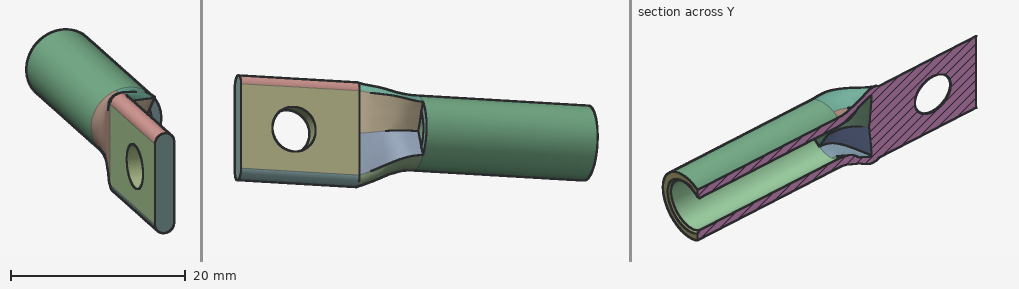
import cadquery as cq
import math

total_length = 40.9
barrel_length = 20.6
transition_length = 6.0
barrel_diameter = 8.63
bore_diameter = 6.25
mouth_chamfer = 0.3

palm_width = 12.2
palm_thickness = 2.37
hole_diameter = 5.2
hole_from_end = 6.38

fold_tilt = 29.0
outer_fold_depth_y = 1.25
inner_fold_depth_y = -0.15
bottom_edge_angle = 17.0
closed_gap = 0.1
closed_width = 9.8
section_count = 6
flat_tolerance = 4.09e-07
crest_delay_power = 1.8

barrel_radius = barrel_diameter / 2
bore_radius = bore_diameter / 2
palm_start = barrel_length + transition_length
palm_bottom = -barrel_radius
palm_middle = palm_bottom + palm_thickness / 2


def folded_points(radius, fold_y):
    """Bottom middle, side start, side middle, crest and V tip as (y, z), +Z half."""
    tilt = math.radians(fold_tilt)
    low = math.radians(bottom_edge_angle)
    along = fold_y * math.sin(tilt)
    reach = -along + math.sqrt(along**2 + radius**2 - fold_y**2)
    crest = (fold_y + reach * math.sin(tilt), reach * math.cos(tilt))
    middle = (math.atan2(crest[0], crest[1]) - low) / 2
    return [
        (-radius, 0),
        (-radius * math.sin(low), radius * math.cos(low)),
        (radius * math.sin(middle), radius * math.cos(middle)),
        crest,
        (fold_y, 0),
    ]


def flat_points(width, thickness):
    """Same five points on a flat section with fully rounded edges."""
    half = thickness / 2
    edge = width / 2 - half
    return [
        (palm_middle - half, 0),
        (palm_middle - half, edge),
        (palm_middle, width / 2),
        (palm_middle + half, edge),
        (palm_middle + half, 0),
    ]


def section_wire(x, points):
    bottom, low, side, crest, tip = [cq.Vector(x, y, z) for y, z in points]
    low_m, side_m, crest_m = [cq.Vector(x, y, -z) for y, z in points[1:4]]
    if abs(low.y - bottom.y) < flat_tolerance:
        lower = cq.Edge.makeLine(low_m, low)
    else:
        lower = cq.Edge.makeThreePointArc(low_m, bottom, low)
    return cq.Wire.assembleEdges([
        lower,
        cq.Edge.makeThreePointArc(low, side, crest),
        cq.Edge.makeLine(crest, tip),
        cq.Edge.makeLine(tip, crest_m),
        cq.Edge.makeThreePointArc(crest_m, side_m, low_m),
    ])


def smooth_step(t):
    return t**2 * (3 - 2 * t)


def flattening_loft(folded, flat):
    wires = []
    for index in range(section_count):
        t = index / (section_count - 1)
        spread = t**2 * (2 - t)
        side_drop = smooth_step(t)
        crest_drop = smooth_step(t**crest_delay_power)
        drops = [side_drop, side_drop, side_drop, crest_drop, crest_drop]
        points = [
            (y0 + (y1 - y0) * drop, z0 + (z1 - z0) * spread)
            for (y0, z0), (y1, z1), drop in zip(folded, flat, drops)
        ]
        wires.append(section_wire(barrel_length + t * transition_length, points))
    return cq.Workplane(cq.Solid.makeLoft(wires))


def make_barrel():
    barrel = cq.Workplane("YZ").circle(barrel_radius).circle(bore_radius).extrude(barrel_length)
    mouth = cq.Solid.makeCone(
        bore_radius + mouth_chamfer, bore_radius, mouth_chamfer,
        cq.Vector(0, 0, 0), cq.Vector(1, 0, 0),
    )
    return barrel.cut(cq.Workplane(mouth))


def make_transition():
    outer = flattening_loft(
        folded_points(barrel_radius, outer_fold_depth_y), flat_points(palm_width, palm_thickness)
    )
    cavity = flattening_loft(
        folded_points(bore_radius, inner_fold_depth_y), flat_points(closed_width, closed_gap)
    )
    return outer.cut(cavity)


def make_palm():
    palm_length = total_length - palm_start
    outline = section_wire(palm_start, flat_points(palm_width, palm_thickness))
    palm = cq.Workplane(cq.Solid.extrudeLinear(outline, [], cq.Vector(palm_length, 0, 0)))
    hole = cq.Solid.makeCylinder(
        hole_diameter / 2, palm_thickness,
        cq.Vector(total_length - hole_from_end, palm_bottom, 0), cq.Vector(0, 1, 0),
    )
    return palm.cut(cq.Workplane(hole))


result = make_barrel().union(make_transition()).union(make_palm())